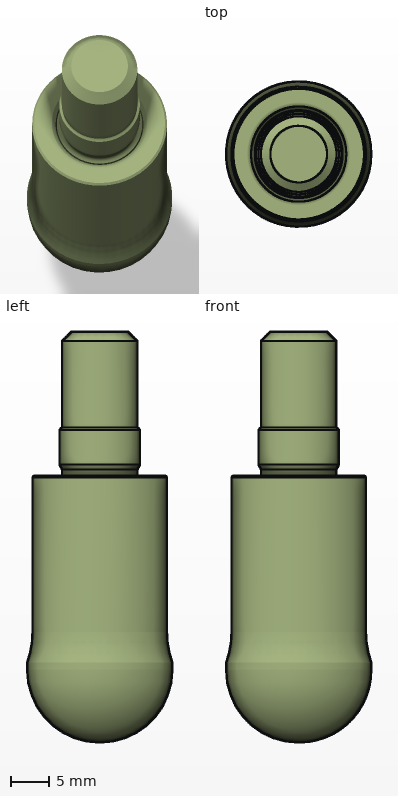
import cadquery as cq
import math

total_height = 54.0

ball_radius = 9.55
ball_band_top = 10.5
flare_top = 14.5
housing_radius = 8.85
housing_top = 35.1
housing_chamfer = 0.25

countersink_radius = 6.25
bore_radius = 5.8
countersink_depth = countersink_radius - bore_radius
bore_depth = 10.8
bore_floor = housing_top - bore_depth

stud_radius = 4.95
stud_end_chamfer = 1.25
collar_radius = 5.3
collar_bottom = 35.9
collar_top = 41.4
collar_chamfer = collar_radius - stud_radius
collar_lower_chamfer_height = 0.6
bore_clearance = 0.15
foot_radius = bore_radius - bore_clearance
foot_top = 34.65
neck_fillet = 0.3


def turn(profile):
    """Revolve a closed XZ half profile about the Z axis."""
    return profile.close().revolve(360, (0, 0, 0), (0, 1, 0))


def flare_midpoint():
    """Midpoint of the concave flare arc, which leaves the cylinder tangentially."""
    widening = ball_radius - housing_radius
    height = flare_top - ball_band_top
    arc_radius = (widening ** 2 + height ** 2) / (2 * widening)
    half_angle = math.asin(height / arc_radius) / 2
    return (
        housing_radius + arc_radius * (1 - math.cos(half_angle)),
        flare_top - arc_radius * math.sin(half_angle),
    )


def make_housing():
    """Ball-ended cylinder with a countersunk blind bore for the stud."""
    hemisphere_mid = ball_radius * math.sqrt(0.5)
    profile = (
        cq.Workplane("XZ")
        .moveTo(0, 0)
        .threePointArc((hemisphere_mid, ball_radius - hemisphere_mid), (ball_radius, ball_radius))
        .lineTo(ball_radius, ball_band_top)
        .threePointArc(flare_midpoint(), (housing_radius, flare_top))
        .lineTo(housing_radius, housing_top - housing_chamfer)
        .lineTo(housing_radius - housing_chamfer, housing_top)
        .lineTo(countersink_radius, housing_top)
        .lineTo(bore_radius, housing_top - countersink_depth)
        .lineTo(bore_radius, bore_floor)
        .lineTo(0, bore_floor)
    )
    return turn(profile)


def make_stud():
    """Round stud with a chamfered end, a chamfered collar and a filleted foot."""
    fillet_mid_offset = neck_fillet * (1 - math.sqrt(0.5))
    profile = (
        cq.Workplane("XZ")
        .moveTo(0, bore_floor)
        .lineTo(foot_radius, bore_floor)
        .lineTo(foot_radius, foot_top)
        .lineTo(stud_radius + neck_fillet, foot_top)
        .threePointArc(
            (stud_radius + fillet_mid_offset, foot_top + fillet_mid_offset),
            (stud_radius, foot_top + neck_fillet),
        )
        .lineTo(stud_radius, collar_bottom)
        .lineTo(collar_radius, collar_bottom + collar_lower_chamfer_height)
        .lineTo(collar_radius, collar_top - collar_chamfer)
        .lineTo(stud_radius, collar_top)
        .lineTo(stud_radius, total_height - stud_end_chamfer)
        .lineTo(stud_radius - stud_end_chamfer, total_height)
        .lineTo(0, total_height)
    )
    return turn(profile)


housing = make_housing()
stud = make_stud()

result = cq.Compound.makeCompound([housing.val(), stud.val()])